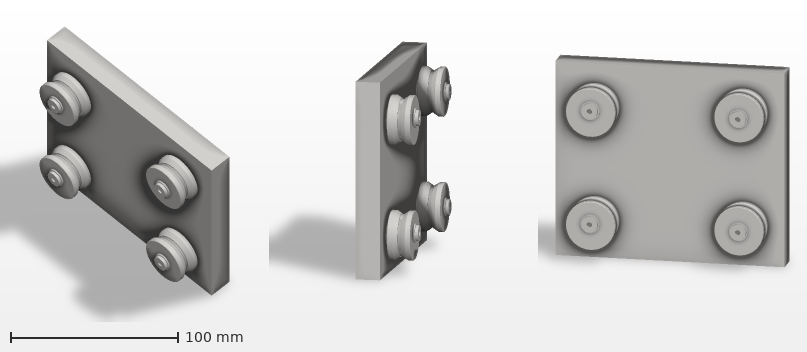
import cadquery as cq

plate_width = 140.0
plate_height = 120.0
plate_thickness = 15.0

axle_spacing_x = 90.6
axle_spacing_z = 70.0
eccentric_drop = 1.5

collar_diameter = 16.0
collar_length = 2.0

wheel_diameter = 30.0
wheel_width = 14.1
groove_floor_diameter = 25.0
groove_step_diameter = 26.2
groove_floor_width = 2.0
groove_mouth_width = 7.8
rim_chamfer = 0.3

shoulder_diameter = 11.5
shoulder_length = 1.0
tip_diameter = 9.7
total_depth = 34.0
centre_hole_diameter = 3.2
centre_hole_depth = 2.1

wheel_back = plate_thickness + collar_length
wheel_front = wheel_back + wheel_width
shoulder_front = wheel_front + shoulder_length


def disc(x, z, start, end, diameter):
    """Cylinder along Y whose flat ends lie at the given distances from the plate back."""
    plane = cq.Workplane("XZ", origin=(x, -start, z))
    return plane.circle(diameter / 2).extrude(end - start)


def make_wheel(x, z):
    """V-grooved wheel with its axis at (x, z), revolved from half of its section."""
    rim_radius = wheel_diameter / 2
    floor_radius = groove_floor_diameter / 2
    step_radius = groove_step_diameter / 2
    middle = (wheel_back + wheel_front) / 2
    half_mouth = groove_mouth_width / 2
    half_floor = groove_floor_width / 2
    section = [
        (0, -wheel_back),
        (rim_radius - rim_chamfer, -wheel_back),
        (rim_radius, -wheel_back - rim_chamfer),
        (rim_radius, -middle + half_mouth),
        (step_radius, -middle + half_floor),
        (floor_radius, -middle + half_floor),
        (floor_radius, -middle - half_floor),
        (step_radius, -middle - half_floor),
        (rim_radius, -middle - half_mouth),
        (rim_radius, -wheel_front + rim_chamfer),
        (rim_radius - rim_chamfer, -wheel_front),
        (0, -wheel_front),
    ]
    wheel = cq.Workplane("XY").polyline(section).close().revolve(360, (0, 0), (0, 1))
    return wheel.translate((x, 0, z))


def make_axle_end(x, z):
    """Shoulder and tip with a blind centre hole."""
    shoulder = disc(x, z, wheel_front, shoulder_front, shoulder_diameter)
    tip = disc(x, z, shoulder_front, total_depth, tip_diameter)
    hole = disc(x, z, total_depth - centre_hole_depth, total_depth, centre_hole_diameter)
    return shoulder.union(tip).cut(hole)


plate_centre_y = -plate_thickness / 2
result = cq.Workplane("XY", origin=(0, plate_centre_y, 0)).box(plate_width, plate_thickness, plate_height)

for side, drop in ((-1, eccentric_drop), (1, 0)):
    for level in (-1, 1):
        x = side * axle_spacing_x / 2
        axle_z = level * axle_spacing_z / 2
        wheel_z = axle_z - drop
        collar = disc(x, wheel_z, plate_thickness, wheel_back, collar_diameter)
        result = result.union(collar)
        result = result.union(make_wheel(x, wheel_z))
        result = result.union(make_axle_end(x, axle_z))